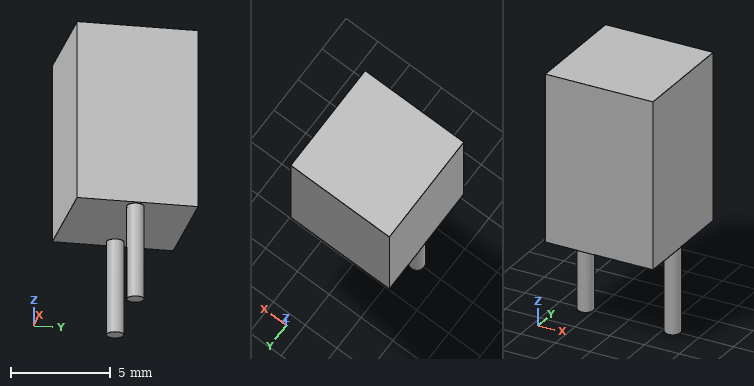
import cadquery as cq

total_height = 14.5
housing_side = 6.2
pin_length = 5.0
pin_spacing = 5.0
pin_diameter = 0.88

housing_height = total_height - pin_length


def make_housing():
    """Square block standing on the XY plane."""
    return cq.Workplane("XY").box(
        housing_side, housing_side, housing_height, centered=(True, True, False)
    )


def make_pin(x):
    """Round lead hanging from the underside of the housing at the given X."""
    return cq.Workplane("XY").center(x, 0).circle(pin_diameter / 2).extrude(-pin_length)


housing = make_housing()
pins = [make_pin(side * pin_spacing / 2) for side in (-1, 1)]

result = cq.Compound.makeCompound([housing.val(), *[pin.val() for pin in pins]])